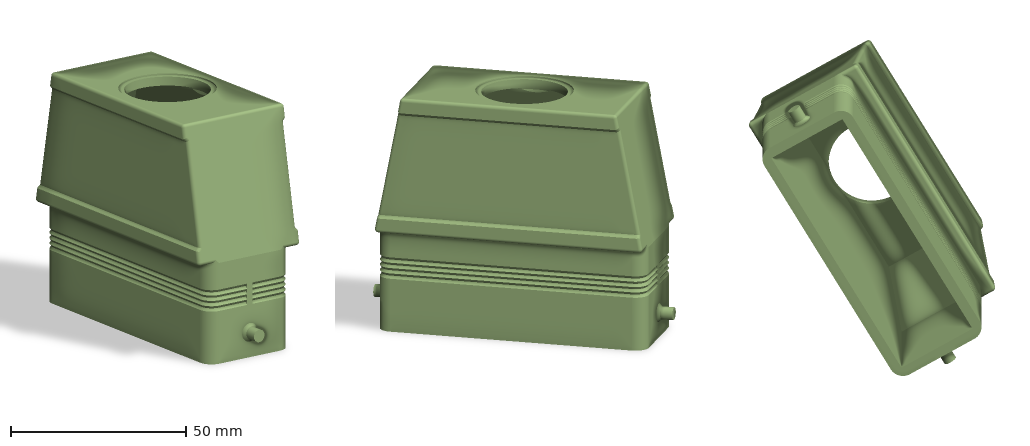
import cadquery as cq
import math

OVERALL_LENGTH = 88.5
OVERALL_HEIGHT = 70.5

BODY_LENGTH = 79.5
BODY_WIDTH = 29.3
BODY_CORNER_RADIUS = 4.0

HOOD_WIDTH = 36.0
HOOD_BOTTOM = 30.1
HOOD_TOP_LENGTH = 63.9
HOOD_EDGE_RADIUS = 1.0

WAIST_DEPTH = 0.9
WAIST_BEVEL_HEIGHT = 0.9
BOTTOM_BAND_HEIGHT = 4.3
TOP_BAND_HEIGHT = 4.25

GROOVE_COUNT = 4
GROOVE_PITCH = 1.6
GROOVE_DEPTH = 0.6
GROOVES_BOTTOM = 15.75
GROOVE_BRIDGE_WIDTH = 1.95

PEG_HEIGHT = 7.4
PEG_RADIUS = 1.9
PEG_COLLAR = 0.9
PEG_EMBEDMENT = 0.9

ENTRY_RADIUS = 12.4
ENTRY_RECESS_RADIUS = 14.1
ENTRY_RECESS_DEPTH = 0.4
ENTRY_OVERRUN = 0.3
CEILING_THICKNESS = 3.1

WALL = 2.9

HOOD_HEIGHT = OVERALL_HEIGHT - HOOD_BOTTOM
END_SLOPE = (BODY_LENGTH - HOOD_TOP_LENGTH) / 2 / HOOD_HEIGHT
WAIST_WIDTH = HOOD_WIDTH - 2 * WAIST_DEPTH
WAIST_BOTTOM = HOOD_BOTTOM + BOTTOM_BAND_HEIGHT
WAIST_TOP = OVERALL_HEIGHT - TOP_BAND_HEIGHT
CAVITY_WIDTH = BODY_WIDTH - 2 * WALL
CEILING = OVERALL_HEIGHT - CEILING_THICKNESS


def end_x(z):
    """Distance from the centre to the sloping hood end at height z."""
    return BODY_LENGTH / 2 - END_SLOPE * (z - HOOD_BOTTOM)


def tapered_block(z_low, z_high, width):
    """Block of the given width whose ends lie on the sloping hood ends."""
    outline = [
        (-end_x(z_low), z_low),
        (end_x(z_low), z_low),
        (end_x(z_high), z_high),
        (-end_x(z_high), z_high),
    ]
    return cq.Workplane("XZ").polyline(outline).close().extrude(width / 2, both=True)


def body_block(bottom, height, inset=0.0):
    """Rounded rectangle of the lower body, optionally shrunk by an inset."""
    return (
        cq.Workplane("XY", origin=(0, 0, bottom))
        .rect(BODY_LENGTH - 2 * inset, BODY_WIDTH - 2 * inset)
        .extrude(height)
        .edges("|Z")
        .fillet(BODY_CORNER_RADIUS - inset)
    )


def lower_body():
    """Straight body; its top is trimmed to the slope of the hood ends."""
    straight = body_block(0, HOOD_BOTTOM)
    neck_height = 2 * HOOD_EDGE_RADIUS
    neck_top = HOOD_BOTTOM + neck_height
    neck = body_block(HOOD_BOTTOM, neck_height).intersect(tapered_block(HOOD_BOTTOM, neck_top, HOOD_WIDTH))
    return straight.union(neck)


def hood():
    """Tapered hood with a bevelled waist along both long faces and rounded outer edges."""
    side_profile = [
        (HOOD_WIDTH / 2, HOOD_BOTTOM),
        (HOOD_WIDTH / 2, WAIST_BOTTOM),
        (WAIST_WIDTH / 2, WAIST_BOTTOM + WAIST_BEVEL_HEIGHT),
        (WAIST_WIDTH / 2, WAIST_TOP - WAIST_BEVEL_HEIGHT),
        (HOOD_WIDTH / 2, WAIST_TOP),
        (HOOD_WIDTH / 2, OVERALL_HEIGHT),
    ]
    mirrored_profile = [(-y, z) for y, z in reversed(side_profile)]
    waisted = (
        cq.Workplane("YZ")
        .polyline(side_profile + mirrored_profile)
        .close()
        .extrude(BODY_LENGTH / 2, both=True)
    )
    sloped = waisted.intersect(tapered_block(HOOD_BOTTOM, OVERALL_HEIGHT, HOOD_WIDTH))
    end_edges = sloped.edges("not |X")
    rim_edges = sloped.edges("|X").edges("<Z or >Z")
    return sloped.newObject(end_edges.vals() + rim_edges.vals()).fillet(HOOD_EDGE_RADIUS)


def sealing_grooves():
    """V-shaped rings around the body, interrupted by a bridge at each end."""
    half_pitch = GROOVE_PITCH / 2
    taper = math.degrees(math.atan(GROOVE_DEPTH / half_pitch))
    rings = body_block(GROOVES_BOTTOM, GROOVE_COUNT * GROOVE_PITCH)
    for index in range(GROOVE_COUNT):
        valley = GROOVES_BOTTOM + (index + 0.5) * GROOVE_PITCH
        valley_section = (
            cq.Workplane("XY", origin=(0, 0, valley))
            .placeSketch(
                cq.Sketch()
                .rect(BODY_LENGTH - 2 * GROOVE_DEPTH, BODY_WIDTH - 2 * GROOVE_DEPTH)
                .vertices()
                .fillet(BODY_CORNER_RADIUS - GROOVE_DEPTH)
            )
        )
        for direction in (-1, 1):
            rings = rings.cut(valley_section.extrude(direction * half_pitch, taper=-taper))
    bridge = cq.Workplane("XY").box(2 * BODY_LENGTH, GROOVE_BRIDGE_WIDTH, 2 * OVERALL_HEIGHT)
    return rings.cut(bridge)


def peg(side):
    """Locking peg with a conical collar where it leaves the end wall."""
    wall_x = BODY_LENGTH / 2
    return (
        cq.Workplane("XY")
        .moveTo(side * (wall_x - PEG_EMBEDMENT), 0)
        .lineTo(side * (wall_x - PEG_EMBEDMENT), PEG_RADIUS + PEG_COLLAR)
        .lineTo(side * wall_x, PEG_RADIUS + PEG_COLLAR)
        .lineTo(side * (wall_x + PEG_COLLAR), PEG_RADIUS)
        .lineTo(side * OVERALL_LENGTH / 2, PEG_RADIUS)
        .lineTo(side * OVERALL_LENGTH / 2, 0)
        .close()
        .revolve(360, (0, 0, 0), (1, 0, 0))
        .translate((0, 0, PEG_HEIGHT))
    )


def cavity():
    """Open-bottomed inside that follows the end walls up to the ceiling."""
    outline = [
        (-BODY_LENGTH / 2 + WALL, 0),
        (BODY_LENGTH / 2 - WALL, 0),
        (BODY_LENGTH / 2 - WALL, HOOD_BOTTOM),
        (end_x(CEILING) - WALL, CEILING),
        (WALL - end_x(CEILING), CEILING),
        (-BODY_LENGTH / 2 + WALL, HOOD_BOTTOM),
    ]
    return cq.Workplane("XZ").polyline(outline).close().extrude(CAVITY_WIDTH / 2, both=True)


def cable_entry():
    """Recessed round hole; its 45-degree tip just nicks the cavity side walls."""
    tip_radius = CAVITY_WIDTH / 2
    tip_top = CEILING - ENTRY_OVERRUN
    tip_bottom = tip_top - (ENTRY_RADIUS - tip_radius)
    recess_floor = OVERALL_HEIGHT - ENTRY_RECESS_DEPTH
    return (
        cq.Workplane("XZ")
        .moveTo(0, OVERALL_HEIGHT)
        .lineTo(ENTRY_RECESS_RADIUS, OVERALL_HEIGHT)
        .lineTo(ENTRY_RECESS_RADIUS, recess_floor)
        .lineTo(ENTRY_RADIUS, recess_floor)
        .lineTo(ENTRY_RADIUS, tip_top)
        .lineTo(tip_radius, tip_bottom)
        .lineTo(0, tip_bottom)
        .close()
        .revolve(360, (0, 0, 0), (0, 1, 0))
    )


shell = lower_body().union(hood()).cut(sealing_grooves())
for end in (-1, 1):
    shell = shell.union(peg(end))
result = shell.cut(cavity()).cut(cable_entry())